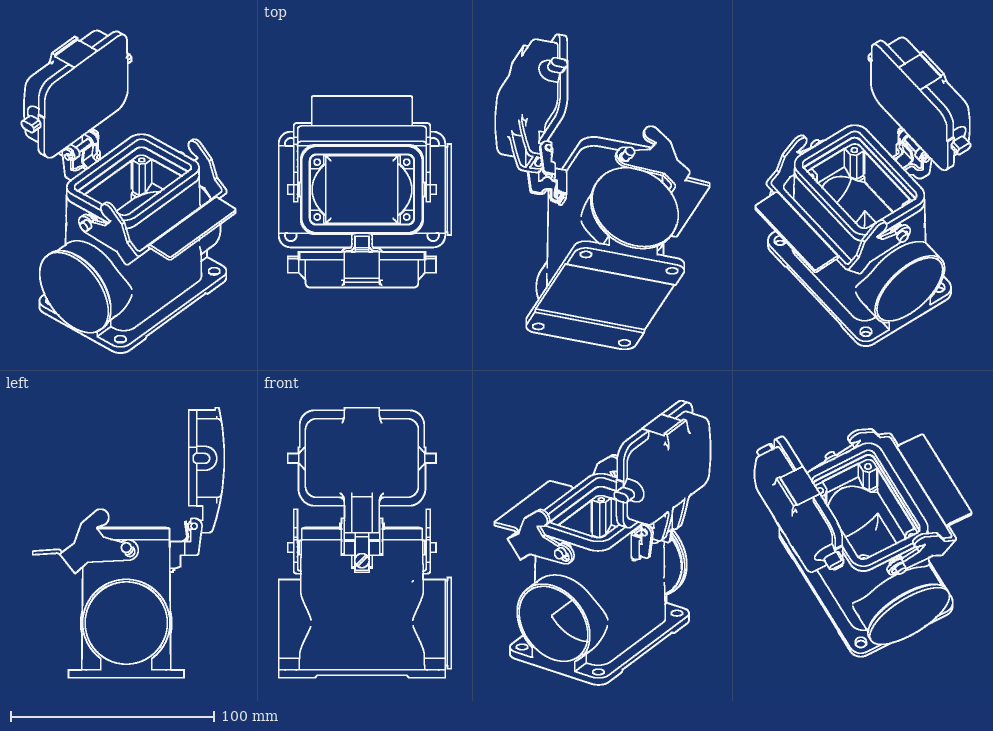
import cadquery as cq
import math


base_length = 82.0
base_width = 57.0
base_thickness = 4.0
base_corner = 6.0
base_relief_length = 44.0
base_relief_depth = 1.2
mount_pitch_x = 70.0
mount_pitch_y = 45.0
mount_hole = 5.6

shell_foot = (61.6, 43.9)
shell_neck = (59.7, 42.7)
rim_size = (59.4, 42.6)
shell_corner = 7.4
neck_z = 68.0
rim_z = 74.0
rim_wall = 3.9
rim_crown = 0.7

mouth_size = (rim_size[0] - 2 * rim_wall, rim_size[1] - 2 * rim_wall)
mouth_corner = shell_corner - rim_wall
mouth_step_z = 68.3
mouth_step = 0.25
seat_z = 63.3
seat_size = (7.0, 7.2)
seat_corner_cut = 2.2
seat_pitch_x = 44.0
seat_pitch_y = 27.0
seat_hole = 3.0
seat_hole_depth = 8.0
throat_size = (36.4, 33.8)
pit_size = (35.4, 33.2)
pit_top_z = 46.0
pit_floor_z = 3.5
pit_floor_round = 2.9
slope_top_z = 48.1
slope_angle = 34.0

hub_z = 27.0
hub_diameter = 43.0
bore_diameter = 40.5
web_width = 25.2

peg_diameter = 4.8
peg_span = 73.0
peg_z = 64.1
peg_boss_diameter = 7.0
peg_boss_span = 61.8

plug_collar_diameter = 42.0
plug_collar_length = 1.0
plug_flange_diameter = 45.0
plug_flange_length = 2.0
plug_depth = 8.0

lever_inner = 63.2
lever_sheet = 2.0
lever_bend = 1.8
lever_inner_bend = 1.8
lever_eye_radius = 5.0
lever_eye = (-0.9, 62.9)
lever_slot_end = (-1.8, 62.1)
lever_eye_tangent = (-0.6, -5.0)
lever_eye_top = (3.2, 3.9)
lever_heel = (18.9, 56.9)
lever_shoulder = (31.4, 62.0)
lever_waist = (25.7, 66.3)
lever_neck = (22.2, 76.1)
lever_nose = ((14.6, 82.6), (8.6, 79.6), (12.0, 74.9))
lever_throat = ((14.6, 73.9), (11.2, 69.3))
bridge_top = (32.8, 60.8)
bridge_bottom = (25.2, 51.2)
handle_width = 49.6
handle_tip_y = 46.05
handle_tip_z = 60.5
handle_corner = 1.0
handle_tip_bevel = 1.0
handle_tip_drop = 0.2
handle_fold_outer = ((34.0, 63.3), (32.9, 63.15), (32.0, 62.4))
handle_fold_inner = ((33.5, 61.2), (35.0, 61.2))
handle_overlap = ((30.4, 60.8), (31.8, 59.6))

lid_front_y = -48.34
lid_back_y = -30.7
lid_flange_thickness = 3.9
lid_z = 108.15
lid_flange_size = (61.4, 47.1)
lid_flange_corner = 7.4
lid_skirt_corner = 8.6
lid_skirt_width = 62.6
lid_skirt_top_z = 113.5
lid_body_size = (55.6, 38.7)
lid_body_corner = 5.5
lid_body_round = 2.4
lid_shoulder_y = -44.6
lid_crown_radius = 112.0
lid_tab_width = 17.2
lid_tab_lip = 2.0
lid_tab_lip_setback = 2.6
lid_tab_rise = 0.15
lid_tab_top_z = 132.94
lid_pin_y = -38.6
lid_pin_z = 108.0
lid_pin_chamfer = 1.2
lid_pin_back_y = -32.9
lid_cone_radius = 5.9
lid_cone_tip_x = 31.0
arm_back_y = -37.6
arm_bottom_z = 71.3
cheek_back_top_z = 84.5
arm_bottom_round = 2.7
arm_gusset = 2.6
tab_gusset = 1.3
gusset_hollow = 0.3
arm_slot_width = 10.2
arm_slot_top_z = 89.0
arm_slot_cove = 1.4
arm_slot_lip = 2.3
arm_web = 2.0
knuckle_radius = 3.0
hinge_hole = 3.05

hinge_y = -33.35
hinge_z = 74.65
hinge_pin = 3.0
hinge_pin_span = 22.0
bracket_sheet = 1.5
bracket_back_y = -21.5
bracket_width = 10.0
bracket_top_z = 67.2
bracket_wing_bottom_z = 60.3
bracket_leg_bottom_z = 53.9
bracket_leg_cut = (2.2, 0.9)
bracket_corner = 1.4
bracket_flare = 1.5
bracket_web_bottom_z = 52.0
bracket_leg_front_y = -26.7
bracket_wing_y = -28.8
ear_inner_x = 8.65
ear_radius = 3.95
ear_bend = 1.3
ear_front_y = -36.9
ear_front_z = 71.3
ear_toe_y = -35.6
ear_toe_cut = 0.8
spring_width = 6.8
spring_sheet = 0.8
spring_bottom_z = 53.0
spring_bend_z = 63.4
spring_bend_end = (-24.2, 65.1)
spring_ramp_end = (-28.6, 67.4)
spring_rise_start = (-30.2, 69.4)
spring_tip = (-29.1, 76.9)
screw_head = 7.0
screw_head_height = 1.5
screw_z = 57.7
screw_slot_width = 1.0
screw_slot_depth = 0.7
screw_slot_angle = 45.0


def slab(size, corner, bottom_z, top_z):
    """Upright block with rounded vertical edges, centred on Z."""
    block = cq.Workplane("XY", origin=(0, 0, bottom_z)).rect(*size).extrude(top_z - bottom_z)
    return block.edges("|Z").fillet(corner)


def box(x_range, y_range, z_range):
    """Box from the two limits along each axis."""
    size = [limits[1] - limits[0] for limits in (x_range, y_range, z_range)]
    low = (x_range[0], y_range[0], z_range[0])
    return cq.Workplane("XY").box(*size, centered=False).translate(low)


def rod(diameter, x_start, x_end, y, z):
    """Cylinder along X."""
    return cq.Workplane("YZ", origin=(x_start, y, z)).circle(diameter / 2).extrude(x_end - x_start)


def side_profile(x_start):
    """Sketch plane on which sketch x is Y and sketch y is Z."""
    return cq.Workplane("YZ", origin=(x_start, 0, 0))


def mirror_x(shape):
    return shape.union(shape.mirror("YZ"))


def rounded_section(size):
    return cq.Sketch().rect(*size).vertices().fillet(shell_corner)


def build_rim_crown():
    """Shallow rounded crown that runs round the top of the rim wall."""
    chord_z = rim_z - rim_crown
    half_wall = rim_wall / 2
    middle_x = rim_size[0] / 2 - half_wall
    middle_y = rim_size[1] / 2 - half_wall
    corner = shell_corner - half_wall
    path = (
        cq.Workplane("XY", origin=(0, 0, chord_z))
        .moveTo(0, -middle_y)
        .hLineTo(middle_x - corner)
        .tangentArcPoint((middle_x, corner - middle_y), relative=False)
        .vLineTo(middle_y - corner)
        .tangentArcPoint((middle_x - corner, middle_y), relative=False)
        .hLineTo(corner - middle_x)
        .tangentArcPoint((-middle_x, middle_y - corner), relative=False)
        .vLineTo(corner - middle_y)
        .tangentArcPoint((corner - middle_x, -middle_y), relative=False)
        .close()
    )
    return (
        cq.Workplane("YZ", origin=(0, -middle_y, chord_z))
        .moveTo(-half_wall, 0)
        .threePointArc((0, rim_crown), (half_wall, 0))
        .close()
        .sweep(path)
    )


def build_shell():
    """Base plate, tapered shell with a straight rim, and the two hubs with their webs."""
    base = slab((base_length, base_width), base_corner, 0, base_thickness)
    taper = (
        cq.Workplane("XY", origin=(0, 0, base_thickness))
        .placeSketch(
            rounded_section(shell_foot),
            rounded_section(shell_neck).moved(cq.Location(cq.Vector(0, 0, neck_z - base_thickness))),
        )
        .loft(ruled=True)
    )
    rim = slab(rim_size, shell_corner, neck_z, rim_z - rim_crown).union(build_rim_crown())
    half = base_length / 2
    hub = rod(hub_diameter, -half, half, 0, hub_z)
    web = box((-half, half), (-web_width / 2, web_width / 2), (0, hub_z))
    return base.union(taper).union(rim).union(hub).union(web)


def base_relief():
    half = base_relief_length / 2
    depth = base_relief_depth
    return (
        cq.Workplane("XZ", origin=(0, base_width / 2, 0))
        .polyline([(-half - depth, 0), (half + depth, 0), (half, depth), (-half, depth)])
        .close()
        .extrude(base_width)
    )


def contact_seats():
    """Four posts in the corners of the mouth, their inner corners cut off."""
    half_x = mouth_size[0] / 2
    half_y = mouth_size[1] / 2
    post = box((half_x - seat_size[0], half_x), (half_y - seat_size[1], half_y), (0, seat_z))
    post = mirror_x(post.edges("|Z and <X and <Y").chamfer(seat_corner_cut))
    return post.union(post.mirror("XZ"))


def mouth_cavity():
    """Stepped opening above the contact seats, with side pockets that slope down to the bores."""
    half_x = mouth_size[0] / 2
    stepped_size = [side - 2 * mouth_step for side in mouth_size]
    cavity = slab(mouth_size, mouth_corner, mouth_step_z, rim_z - rim_crown)
    cavity = cavity.union(slab(stepped_size, mouth_corner - mouth_step, seat_z, mouth_step_z))
    slope_bottom_z = slope_top_z - half_x * math.tan(math.radians(slope_angle))
    pocket = (
        cq.Workplane("XZ", origin=(0, pit_size[1] / 2, 0))
        .polyline([(0, slope_bottom_z), (half_x, slope_top_z), (half_x, seat_z), (0, seat_z)])
        .close()
        .extrude(pit_size[1])
    )
    return cavity.union(mirror_x(pocket).cut(contact_seats()))


def contact_pit():
    """Straight pit with a rounded floor below a tapered throat."""
    pit = (
        cq.Workplane("XY", origin=(0, 0, pit_floor_z))
        .rect(*pit_size)
        .extrude(pit_top_z - pit_floor_z)
        .faces("<Z")
        .edges()
        .fillet(pit_floor_round)
    )
    throat = (
        cq.Workplane("XY", origin=(0, 0, pit_top_z))
        .rect(*pit_size)
        .workplane(offset=seat_z - pit_top_z)
        .rect(*throat_size)
        .loft()
    )
    return pit.union(throat)


def build_housing():
    bore = rod(bore_diameter, -base_length / 2, base_length / 2, 0, hub_z)
    body = build_shell().cut(base_relief()).cut(mouth_cavity()).cut(contact_pit()).cut(bore)
    mount_holes = (
        cq.Workplane("XY")
        .rect(mount_pitch_x, mount_pitch_y, forConstruction=True)
        .vertices()
        .circle(mount_hole / 2)
        .extrude(base_thickness)
    )
    seat_holes = (
        cq.Workplane("XY", origin=(0, 0, seat_z - seat_hole_depth))
        .rect(seat_pitch_x, seat_pitch_y, forConstruction=True)
        .vertices()
        .circle(seat_hole / 2)
        .extrude(seat_hole_depth)
    )
    wall_x = mouth_size[0] / 2
    peg = rod(peg_diameter, wall_x, peg_span / 2, 0, peg_z)
    boss = rod(peg_boss_diameter, wall_x, peg_boss_span / 2, 0, peg_z)
    return body.cut(mount_holes).cut(seat_holes).union(mirror_x(peg.union(boss)))


def build_plug():
    """Blanking plug seated in the +X bore."""
    face_x = base_length / 2
    collar_x = face_x + plug_collar_length
    barrel = rod(bore_diameter, face_x - plug_depth, face_x, 0, hub_z)
    collar = rod(plug_collar_diameter, face_x, collar_x, 0, hub_z)
    flange = rod(plug_flange_diameter, collar_x, collar_x + plug_flange_length, 0, hub_z)
    return barrel.union(collar).union(flange)


def lever_side():
    """Side outline of the arms, bridge included, over the full lever width."""
    eye_y, eye_z = lever_eye
    eye_bottom = (eye_y + lever_eye_tangent[0], eye_z + lever_eye_tangent[1])
    eye_top = (eye_y + lever_eye_top[0], eye_z + lever_eye_top[1])
    nose_start, nose_middle, nose_end = lever_nose
    width = lever_inner + 2 * lever_sheet
    return (
        side_profile(-width / 2)
        .moveTo(*eye_bottom)
        .lineTo(*lever_heel)
        .lineTo(*bridge_bottom)
        .lineTo(*bridge_top)
        .lineTo(*lever_shoulder)
        .lineTo(*lever_waist)
        .lineTo(*lever_neck)
        .lineTo(*nose_start)
        .threePointArc(nose_middle, nose_end)
        .lineTo(*lever_throat[0])
        .lineTo(*lever_throat[1])
        .lineTo(*eye_top)
        .threePointArc((eye_y - lever_eye_radius, eye_z), eye_bottom)
        .close()
        .extrude(width)
    )


def bridge_folds():
    """Selector for the two outer edges where the bridge folds into the arms."""
    along_bridge = cq.Vector(0, bridge_top[0] - bridge_bottom[0], bridge_top[1] - bridge_bottom[1])
    inside_x = (lever_inner + lever_sheet) / 2
    inner_edges = cq.selectors.BoxSelector((-inside_x, -handle_tip_y, 0), (inside_x, handle_tip_y, rim_z))
    return cq.selectors.ParallelDirSelector(along_bridge) - inner_edges


def lever_handle():
    """Flat grip that folds outwards from the top of the bridge."""
    tip_top_z = handle_tip_z + lever_sheet
    fold_start, fold_middle, fold_end = handle_fold_outer
    return (
        side_profile(-handle_width / 2)
        .moveTo(handle_tip_y, handle_tip_z)
        .lineTo(handle_tip_y, tip_top_z - handle_tip_drop)
        .lineTo(handle_tip_y - handle_tip_bevel, tip_top_z)
        .lineTo(*fold_start)
        .threePointArc(fold_middle, fold_end)
        .lineTo(*handle_overlap[0])
        .lineTo(*handle_overlap[1])
        .lineTo(*bridge_top)
        .threePointArc(*handle_fold_inner)
        .close()
        .extrude(handle_width)
        .edges("|Z and >Y")
        .fillet(handle_corner)
    )


def build_lever():
    run_y = bridge_top[0] - bridge_bottom[0]
    rise_z = bridge_top[1] - bridge_bottom[1]
    length = math.hypot(run_y, rise_z)
    tilt = math.degrees(math.atan2(rise_z, run_y))
    reach = 90.0
    inside = (
        cq.Workplane("XY")
        .box(lever_inner, length + reach, reach)
        .edges("|Y and <Z")
        .fillet(lever_inner_bend)
        .translate((0, 0, reach / 2 + lever_sheet))
        .rotate((0, 0, 0), (1, 0, 0), tilt)
        .translate((0, bridge_bottom[0], bridge_bottom[1]))
    )
    peg_hole = rod(peg_diameter, -peg_span / 2, peg_span / 2, 0, peg_z)
    play_hole = rod(peg_diameter, -peg_span / 2, peg_span / 2, *lever_slot_end)
    side = lever_side().cut(inside).edges(bridge_folds()).fillet(lever_bend)
    return side.cut(peg_hole).cut(play_hole).union(lever_handle())


def lid_slab(size, corner, y_start, y_end, centre_z):
    """Block across Y with rounded corners in the XZ plane."""
    half_x = size[0] / 2
    half_z = size[1] / 2
    block = box((-half_x, half_x), (y_end, y_start), (centre_z - half_z, centre_z + half_z))
    return block.edges("|Y").fillet(corner)


def crown_trim(width):
    """Cylinder along X whose surface is the crowned front of the lid."""
    centre_y = lid_front_y + lid_crown_radius
    return rod(2 * lid_crown_radius, -width / 2, width / 2, centre_y, lid_z)


def lid_boss():
    """Conical boss on the +X flank, drawn out straight towards the flange."""
    root_x = lid_body_size[0] / 2
    cone_length = lid_cone_tip_x - root_x
    pin_radius = peg_diameter / 2
    flange_y = lid_back_y - lid_flange_thickness
    cone = (
        cq.Workplane("YZ", origin=(root_x, lid_pin_y, lid_pin_z))
        .circle(lid_cone_radius)
        .workplane(offset=cone_length)
        .circle(pin_radius)
        .loft()
    )
    neck = (
        cq.Workplane("XZ", origin=(0, flange_y, lid_pin_z))
        .polyline(
            [
                (root_x, -lid_cone_radius),
                (lid_cone_tip_x, -pin_radius),
                (lid_cone_tip_x, pin_radius),
                (root_x, lid_cone_radius),
            ]
        )
        .close()
        .extrude(flange_y - lid_pin_y)
    )
    root = box(
        (0, root_x), (lid_pin_y, flange_y), (lid_pin_z - lid_cone_radius, lid_pin_z + lid_cone_radius)
    )
    pin_end = peg_span / 2
    pin = rod(peg_diameter, 0, pin_end, lid_pin_y, lid_pin_z)
    tail = box(
        (0, pin_end), (lid_pin_y, lid_pin_back_y), (lid_pin_z - pin_radius, lid_pin_z + pin_radius)
    )
    tail = tail.edges("|X and >Y").chamfer(lid_pin_chamfer)
    return cone.union(neck).union(root).union(pin).union(tail)


def lid_tab():
    """Central tab that crosses the top of the lid and ends in a raised lip."""
    half = lid_tab_width / 2
    block_top_z = lid_z + lid_flange_size[1] / 2 + lid_tab_rise
    block = box((-half, half), (lid_front_y, lid_back_y), (lid_z, block_top_z))
    lip_back_y = lid_front_y + lid_tab_lip_setback + lid_tab_lip
    lip = box((-half, half), (lid_front_y, lip_back_y), (lid_z, lid_tab_top_z))
    return block.union(lip)


def lid_arm():
    """Hinge arm: two cheeks with knuckles, joined by a thin web behind the slot."""
    half = lid_tab_width / 2
    flange_y = lid_back_y - lid_flange_thickness
    return (
        side_profile(-half)
        .moveTo(flange_y, lid_z)
        .lineTo(flange_y, cheek_back_top_z)
        .lineTo(arm_back_y, cheek_back_top_z)
        .lineTo(arm_back_y, hinge_z + knuckle_radius)
        .lineTo(hinge_y, hinge_z + knuckle_radius)
        .threePointArc((hinge_y + knuckle_radius, hinge_z), (hinge_y, hinge_z - knuckle_radius))
        .lineTo(arm_back_y, arm_bottom_z)
        .lineTo(lid_front_y, arm_bottom_z)
        .lineTo(lid_front_y, lid_z)
        .close()
        .extrude(lid_tab_width)
    )


def lid_gusset(radius, edge_z, direction):
    """Hollow fillet between a body edge and the +X flank of the tab or the arm.

    Behind the rounded front edge it is a true quarter fillet; across that edge it narrows.
    """
    flank_x = lid_tab_width / 2
    foot_x = flank_x + radius
    flange_y = lid_back_y - lid_flange_thickness
    inner_z = edge_z - direction * lid_body_round
    end_z = edge_z + direction * radius
    slant = math.sqrt(0.5)
    quarter_middle = (foot_x - slant * radius, end_z - slant * direction * radius)
    rear = (
        cq.Workplane("XZ", origin=(0, flange_y, 0))
        .moveTo(0, inner_z)
        .lineTo(foot_x, inner_z)
        .lineTo(foot_x, edge_z)
        .threePointArc(quarter_middle, (flank_x, end_z))
        .lineTo(0, end_z)
        .close()
        .extrude(flange_y - lid_shoulder_y)
    )
    front_middle = (flank_x + gusset_hollow * radius, edge_z - direction * gusset_hollow * radius)
    front = (
        cq.Workplane("XZ", origin=(0, flange_y, 0))
        .moveTo(0, inner_z)
        .lineTo(foot_x, inner_z)
        .threePointArc(front_middle, (flank_x, end_z))
        .lineTo(0, end_z)
        .close()
        .extrude(flange_y - lid_front_y)
    )
    return rear.union(front)


def arm_slot():
    half = arm_slot_width / 2
    web_front_y = arm_back_y - arm_web
    front = box((-half, half), (lid_front_y, web_front_y), (arm_bottom_z, arm_slot_top_z))
    front = front.edges("|X and >Y and >Z").fillet(arm_slot_cove)
    knuckle_back_y = hinge_y + knuckle_radius
    rear_top_z = hinge_z + 2 * knuckle_radius
    rear = box((-half, half), (arm_back_y, knuckle_back_y), (arm_bottom_z, rear_top_z))
    return front.union(rear)


def build_lid():
    flange_y = lid_back_y - lid_flange_thickness
    flange = lid_slab(lid_flange_size, lid_flange_corner, lid_back_y, flange_y, lid_z)
    skirt_bottom_z = lid_z - lid_flange_size[1] / 2
    half_skirt = lid_skirt_width / 2
    skirt = box(
        (-half_skirt, half_skirt), (flange_y, lid_back_y), (skirt_bottom_z, lid_skirt_top_z)
    )
    skirt = skirt.edges("|Y and <Z").fillet(lid_skirt_corner)
    body = lid_slab(lid_body_size, lid_body_corner, flange_y, lid_front_y, lid_z)
    body = body.intersect(crown_trim(lid_body_size[0]))
    body = body.faces("<Y").edges().fillet(lid_body_round)
    tab = lid_tab().intersect(crown_trim(lid_tab_width))
    arm = lid_arm().intersect(crown_trim(lid_tab_width))
    arm = arm.faces("<Z").edges("<Y").fillet(arm_bottom_round)
    body_top_z = lid_z + lid_body_size[1] / 2
    body_bottom_z = lid_z - lid_body_size[1] / 2
    tab_side = lid_gusset(tab_gusset, body_top_z, 1)
    arm_side = lid_gusset(arm_gusset, body_bottom_z, -1)
    gussets = mirror_x(tab_side.union(arm_side)).intersect(crown_trim(lid_body_size[0]))
    lid = flange.union(skirt).union(body).union(tab).union(arm).union(gussets).union(mirror_x(lid_boss()))
    hole = rod(hinge_hole, -lid_tab_width, lid_tab_width, hinge_y, hinge_z)
    lid = lid.cut(arm_slot()).cut(hole)
    lip_margin = 0.5
    lip_zone = cq.selectors.BoxSelector(
        (-arm_slot_width, lid_front_y, arm_slot_top_z - lip_margin),
        (arm_slot_width, lid_shoulder_y, arm_slot_top_z + lip_margin),
    )
    return lid.edges("|X").edges(lip_zone).fillet(arm_slot_lip)


def bracket_web_half():
    """+X half of the web with its leg."""
    half = bracket_width / 2
    inner_x = half - bracket_sheet
    front_y = bracket_leg_front_y
    cut_y, cut_z = bracket_leg_cut
    web_y = (bracket_back_y - bracket_sheet, bracket_back_y)
    web = box((0, inner_x), web_y, (bracket_web_bottom_z, bracket_top_z))
    leg = (
        side_profile(inner_x)
        .moveTo(bracket_back_y, bracket_leg_bottom_z)
        .lineTo(bracket_back_y, bracket_top_z)
        .lineTo(front_y, bracket_top_z)
        .lineTo(front_y, bracket_leg_bottom_z + cut_z)
        .lineTo(front_y + cut_y, bracket_leg_bottom_z)
        .close()
        .extrude(bracket_sheet)
        .edges("|Z and >X and >Y")
        .fillet(bracket_corner)
    )
    return web.union(leg)


def bracket_wing():
    """+X wing: a strip that flares out of the leg and bends forward into the ear."""
    sheet = bracket_sheet
    leg_outer_x = bracket_width / 2
    leg_inner_x = leg_outer_x - sheet
    flare_x = leg_outer_x + bracket_flare
    flare_y = bracket_wing_y + bracket_flare
    wing_front_y = bracket_wing_y - sheet
    bend_x = ear_inner_x - ear_bend
    ear_y = wing_front_y - ear_bend
    ear_outer_x = ear_inner_x + sheet
    return (
        cq.Workplane("XY", origin=(0, 0, bracket_wing_bottom_z))
        .moveTo(leg_inner_x, bracket_leg_front_y)
        .lineTo(leg_outer_x, bracket_leg_front_y)
        .lineTo(leg_outer_x, flare_y)
        .radiusArc((flare_x, bracket_wing_y), -bracket_flare)
        .lineTo(bend_x, bracket_wing_y)
        .radiusArc((ear_outer_x, ear_y), ear_bend + sheet)
        .lineTo(ear_inner_x, ear_y)
        .radiusArc((bend_x, wing_front_y), -ear_bend)
        .lineTo(flare_x, wing_front_y)
        .radiusArc((leg_inner_x, flare_y), bracket_flare + sheet)
        .close()
        .extrude(bracket_top_z - bracket_wing_bottom_z)
    )


def bracket_ear():
    """+X ear: upright hook whose slot, open to the rear, holds the hinge pin."""
    back_y = bracket_wing_y - bracket_sheet - ear_bend
    back_rise = math.sqrt(ear_radius**2 - (back_y - hinge_y) ** 2)
    bottom_z = bracket_wing_bottom_z
    ear = (
        side_profile(ear_inner_x)
        .moveTo(back_y, bottom_z)
        .lineTo(back_y, hinge_z + back_rise)
        .threePointArc((hinge_y, hinge_z + ear_radius), (hinge_y - ear_radius, hinge_z))
        .lineTo(ear_front_y, ear_front_z)
        .lineTo(ear_toe_y, bottom_z + ear_toe_cut)
        .lineTo(ear_toe_y + ear_toe_cut, bottom_z)
        .close()
        .extrude(bracket_sheet)
    )
    half_pin = hinge_pin / 2
    slot = box(
        (ear_inner_x, ear_inner_x + bracket_sheet), (hinge_y, back_y), (hinge_z - half_pin, hinge_z + half_pin)
    )
    return ear.cut(slot)


def bracket_spring():
    """Leaf that lies on the web, folds forward over it and rises behind the hinge pin."""
    leaf_y = bracket_back_y - bracket_sheet - spring_sheet / 2
    path = (
        side_profile(0)
        .moveTo(leaf_y, spring_bottom_z)
        .lineTo(leaf_y, spring_bend_z)
        .tangentArcPoint(spring_bend_end, relative=False)
        .lineTo(*spring_ramp_end)
        .tangentArcPoint(spring_rise_start, relative=False)
        .lineTo(*spring_tip)
    )
    return (
        cq.Workplane("XY", origin=(0, leaf_y, spring_bottom_z))
        .rect(spring_width, spring_sheet)
        .sweep(path, transition="right")
    )


def bracket_screw():
    """Slotted screw head that clamps the leaf to the web."""
    seat_y = bracket_back_y - bracket_sheet
    head_y = seat_y - spring_sheet - screw_head_height
    head = cq.Workplane("XZ", origin=(0, seat_y, screw_z)).circle(screw_head / 2).extrude(seat_y - head_y)
    slot = (
        cq.Workplane("XZ", origin=(0, head_y + screw_slot_depth, screw_z))
        .transformed(rotate=(0, 0, screw_slot_angle))
        .rect(2 * screw_head, screw_slot_width)
        .extrude(screw_slot_depth)
    )
    return head.cut(slot)


def build_bracket():
    pin = rod(hinge_pin, -hinge_pin_span / 2, hinge_pin_span / 2, hinge_y, hinge_z)
    sheet = mirror_x(bracket_web_half().union(bracket_wing()).union(bracket_ear()))
    return sheet.union(bracket_spring()).union(bracket_screw()).union(pin)


housing = build_housing()
plug = build_plug()
lever = build_lever()
lid = build_lid()
bracket = build_bracket()

result = cq.Compound.makeCompound(
    [housing.val(), plug.val(), lever.val(), lid.val(), bracket.val()]
)